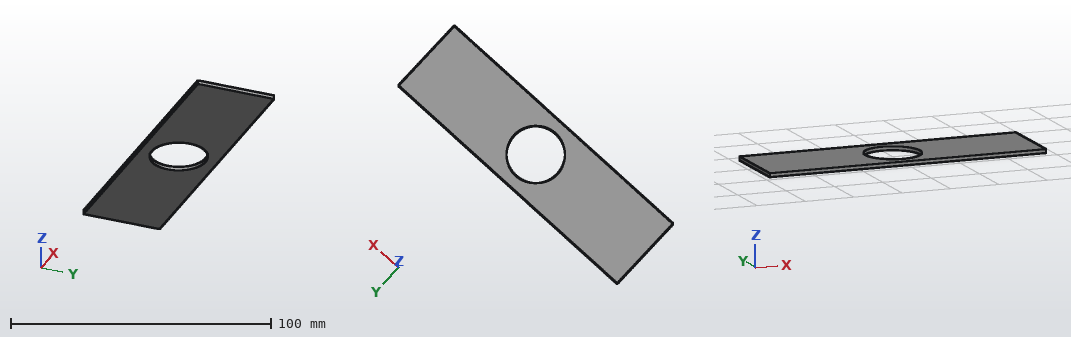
import cadquery as cq

length = 114.3
width = 31.8
thickness = 1.6

hole_diameter = 22.4

result = (
    cq.Workplane("XY")
    .box(length, width, thickness)
    .faces(">Z")
    .workplane()
    .hole(hole_diameter)
)